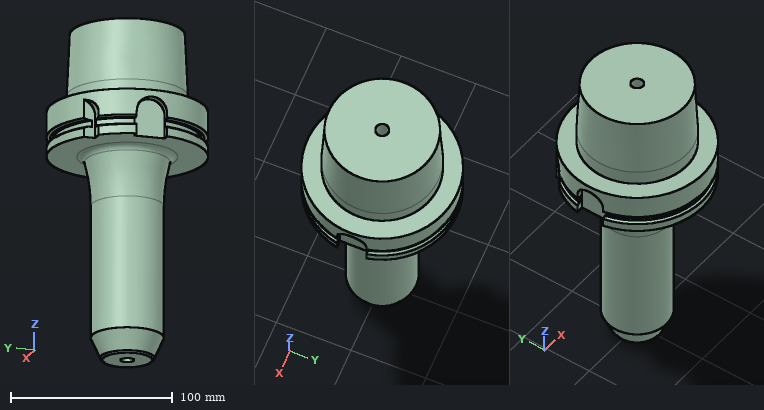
import cadquery as cq
import math

total_height = 210.0
taper_base_z = 170.0
flange_top_z = 160.0
groove_upper_z = 143.5
groove_lower_z = 137.1
flange_bottom_z = 131.2
neck_fillet_end_z = 127.7
neck_end_z = 99.1
nose_cone_z = 14.3
nose_chamfer = 1.3

taper_top_radius = 35.7
taper_base_radius = 37.5
flange_radius = 50.0
groove_radius = 46.0
groove_side_height = 1.0
groove_side_inset = 2.0
neck_radius = 26.5
shank_radius = 22.7
nose_radius = 16.8
bore_radius = 4.2

slot_radius = 9.9
slot_top_z = 155.6
drive_floor_x = 44.0
side_notch_y = 41.2
side_notch_floor_x = 31.7

neck_growth = neck_radius - shank_radius
neck_length = neck_fillet_end_z - neck_end_z
flare_radius = (neck_length**2 + neck_growth**2) / (2 * neck_growth)
flare_angle = math.asin(neck_length / flare_radius)
flare_mid = (
    shank_radius + flare_radius * (1 - math.cos(flare_angle / 2)),
    neck_end_z + flare_radius * math.sin(flare_angle / 2),
)

fillet_radius = (flange_bottom_z - neck_fillet_end_z) / (1 - math.sin(flare_angle))
fillet_center_r = neck_radius + fillet_radius * math.cos(flare_angle)
fillet_center_z = flange_bottom_z - fillet_radius
fillet_mid_angle = (flare_angle + math.pi / 2) / 2
fillet_mid = (
    fillet_center_r - fillet_radius * math.cos(fillet_mid_angle),
    fillet_center_z + fillet_radius * math.sin(fillet_mid_angle),
)


def turned_body():
    """Revolve the half outline, drawn in the XZ plane, about Z."""
    groove_lip_radius = flange_radius - groove_side_inset
    outline = (
        cq.Workplane("XZ")
        .moveTo(0, 0)
        .lineTo(nose_radius - nose_chamfer, 0)
        .lineTo(nose_radius, nose_chamfer)
        .lineTo(shank_radius, nose_cone_z)
        .lineTo(shank_radius, neck_end_z)
        .threePointArc(flare_mid, (neck_radius, neck_fillet_end_z))
        .threePointArc(fillet_mid, (fillet_center_r, flange_bottom_z))
        .lineTo(flange_radius, flange_bottom_z)
        .lineTo(flange_radius, groove_lower_z)
        .lineTo(groove_lip_radius, groove_lower_z + groove_side_height)
        .lineTo(groove_radius, groove_lower_z + groove_side_height)
        .lineTo(groove_radius, groove_upper_z - groove_side_height)
        .lineTo(groove_lip_radius, groove_upper_z - groove_side_height)
        .lineTo(flange_radius, groove_upper_z)
        .lineTo(flange_radius, flange_top_z)
        .lineTo(taper_base_radius, flange_top_z)
        .lineTo(taper_base_radius, taper_base_z)
        .lineTo(taper_top_radius, total_height)
        .lineTo(0, total_height)
        .close()
    )
    return outline.revolve(360, (0, 0, 0), (0, 1, 0))


def slot_cutter(center_y, floor_x):
    """Round-topped slot, open at the flange bottom, cut inward from -X to floor_x."""
    arch_center_z = slot_top_z - slot_radius
    return (
        cq.Workplane("YZ", origin=(-flange_radius, center_y, 0))
        .moveTo(-slot_radius, flange_bottom_z)
        .lineTo(-slot_radius, arch_center_z)
        .threePointArc((0, slot_top_z), (slot_radius, arch_center_z))
        .lineTo(slot_radius, flange_bottom_z)
        .close()
        .extrude(flange_radius - floor_x)
    )


bore = cq.Workplane("XY").circle(bore_radius).extrude(total_height)
drive_slot = slot_cutter(0, drive_floor_x)
opposite_drive_slot = drive_slot.rotate((0, 0, 0), (0, 0, 1), 180)
side_notch = slot_cutter(side_notch_y, side_notch_floor_x)

result = turned_body()
for cutter in (bore, drive_slot, opposite_drive_slot, side_notch):
    result = result.cut(cutter)